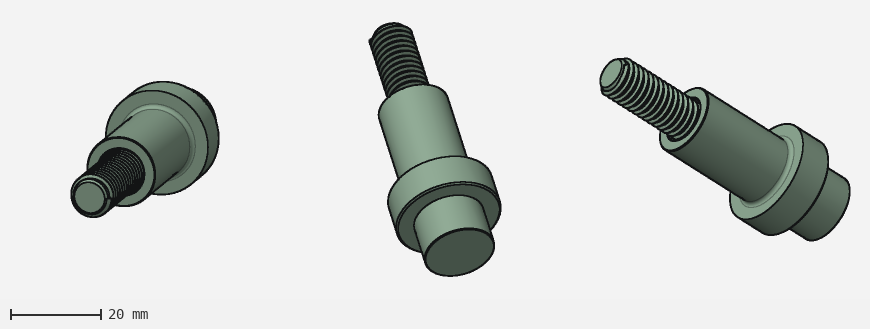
import cadquery as cq
import math


overall_length = 65.0
body_dia = 16.0
head_length = 10.0
screw_reach = overall_length - head_length
head_chamfer = 0.2
shank_dia = 10.0

crest_dia = 9.7
root_dia = 8.1
pitch = 1.5
flank_angle = 30.0
crest_width = pitch / 8
thread_end_gap = 0.9
ridge_sink = 0.2
tip_chamfer_radial = 0.5
tip_chamfer_axial = 0.7

flange_dia = 24.0
flange_length = 8.0
sleeve_length = 33.0
flange_chamfer = 0.4
neck_fillet = 1.0
barrel_chamfer = 0.2
bore_dia = 10.5
bore_chamfer = 0.25

hidden_turns = 2
exposed_turns = math.ceil((screw_reach - sleeve_length - thread_end_gap) / pitch)
thread_turns = exposed_turns + hidden_turns
thread_length = thread_turns * pitch
first_crest_y = -screw_reach + thread_end_gap
shank_end_y = first_crest_y + thread_length - pitch / 2


def rod(diameter, y_start, y_end):
    """Cylinder on the Y axis between two stations."""
    low = min(y_start, y_end)
    circle = cq.Workplane("XZ", origin=(0, low, 0)).circle(diameter / 2)
    return circle.extrude(-abs(y_end - y_start))


def thread_ridge():
    """Right-hand helical ridge that starts at +X near the tip and climbs toward +Y."""
    base_radius = root_dia / 2 - ridge_sink
    crest_radius = crest_dia / 2
    half_crest = crest_width / 2
    half_base = half_crest + (crest_radius - base_radius) * math.tan(math.radians(flank_angle))
    profile = cq.Workplane("XZ").polyline([
        (base_radius, -half_base),
        (crest_radius, -half_crest),
        (crest_radius, half_crest),
        (base_radius, half_base),
    ]).close()
    helix = cq.Wire.makeHelix(pitch, thread_length, base_radius)
    ridge = profile.sweep(cq.Workplane(helix), isFrenet=True)
    return ridge.rotate((0, 0, 0), (1, 0, 0), -90).translate((0, first_crest_y, 0))


def threaded_end():
    """Root cylinder with a chamfered tip, carrying the thread ridge."""
    core = rod(root_dia, -screw_reach, shank_end_y)
    core = core.faces("<Y").chamfer(tip_chamfer_axial, tip_chamfer_radial)
    core = core.rotate((0, 0, 0), (0, 1, 0), 90)
    return core.union(thread_ridge())


def make_screw():
    head = rod(body_dia, 0, head_length).faces(">Y").chamfer(head_chamfer)
    shank = rod(shank_dia, shank_end_y, 0)
    return head.union(shank).union(threaded_end())


def make_sleeve():
    """Flanged sleeve, revolved from its half section in the XY plane."""
    bore_radius = bore_dia / 2
    barrel_radius = body_dia / 2
    flange_radius = flange_dia / 2
    neck_y = -flange_length - neck_fillet
    neck_arc_inset = neck_fillet * (1 - math.sqrt(0.5))
    section = (
        cq.Workplane("XY")
        .moveTo(bore_radius, 0)
        .lineTo(flange_radius - flange_chamfer, 0)
        .lineTo(flange_radius, -flange_chamfer)
        .lineTo(flange_radius, -flange_length)
        .lineTo(barrel_radius + neck_fillet, -flange_length)
        .threePointArc(
            (barrel_radius + neck_arc_inset, -flange_length - neck_arc_inset),
            (barrel_radius, neck_y),
        )
        .lineTo(barrel_radius, -sleeve_length + barrel_chamfer)
        .lineTo(barrel_radius - barrel_chamfer, -sleeve_length)
        .lineTo(bore_radius + bore_chamfer, -sleeve_length)
        .lineTo(bore_radius, -sleeve_length + bore_chamfer)
        .close()
    )
    return section.revolve(360, (0, 0, 0), (0, 1, 0))


screw = make_screw()
sleeve = make_sleeve()

result = cq.Compound.makeCompound([screw.solids().val(), sleeve.solids().val()])